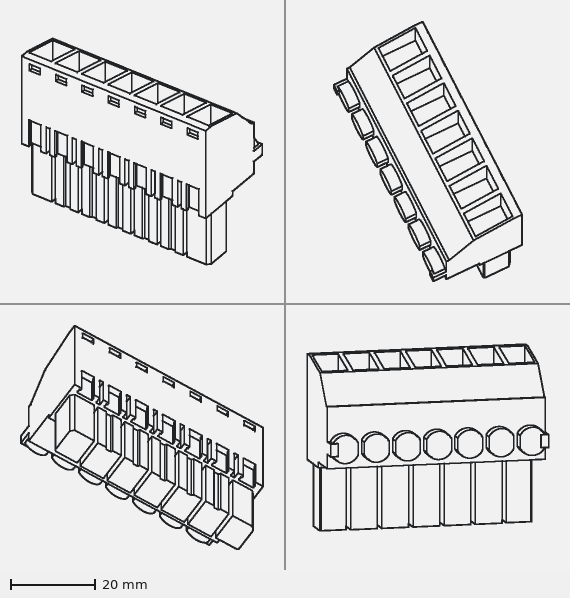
import cadquery as cq

POLES = 7
WIDTH = 53.35
PITCH = WIDTH / POLES
TOTAL_HEIGHT = 41.1
TOTAL_DEPTH = 23.6

BLOCK_HEIGHT = 25.6
BLOCK_DEPTH = 20.1
TOP_FLAT_DEPTH = 2.45
UPPER_SLOPE_BACK = 12.9
UPPER_SLOPE_DROP = 2.4
LOWER_SLOPE_BACK = 19.35
REAR_SHOULDER_DROP = 9.35
SKIRT_DEPTH = 11.3
SKIRT_HEIGHT = 1.35
LEG_LENGTH = TOTAL_HEIGHT - BLOCK_HEIGHT

POCKET_WIDTH = 6.35
POCKET_FRONT = 2.25
POCKET_BACK = 12.05
POCKET_DEPTH = 10.65

WINDOW_WIDTH = 3.1
WINDOW_HEIGHT = 1.9
WINDOW_DROP = 1.4
WINDOW_DEPTH = 1.0

RECESS_HEIGHT = 7.75
RECESS_DEPTH = 1.6
MOUTH_WIDTH = 3.5
LIP_THICKNESS = 0.7
UNDERCUT = 0.3

LEG_GAP = 1.05
LEG_FRONT = 2.4
LEG_BACK = 10.2
END_LEG_BACK = 9.85
END_LEG_INSET = 0.7
FRONT_CHAMFER = 0.85
REAR_CHAMFER = 0.3
GROOVE_WIDTH = 1.85
GROOVE_FLOOR_WIDTH = 1.25
GROOVE_DEPTH = 0.5

BUTTON_RADIUS = 3.4
BUTTON_WIDTH = 6.1
BUTTON_LENGTH = 2.9
BUTTON_DROP = 19.25
BUTTON_Z = TOTAL_HEIGHT - BUTTON_DROP
BUTTON_BACK = BLOCK_DEPTH + BUTTON_LENGTH
ARM_WIDTH = (PITCH - BUTTON_WIDTH) / 2
ARM_HEIGHT = 3.1
HOOK_WIDTH = 1.8

POLE_CENTRES = [(i - (POLES - 1) / 2) * PITCH for i in range(POLES)]
GAP_CENTRES = [x + PITCH / 2 for x in POLE_CENTRES[:-1]]


def box(centre_x, width, y_front, y_back, z_bottom, z_top):
    """Box centred on centre_x in X, between the given Y and Z limits."""
    size = (width, y_back - y_front, z_top - z_bottom)
    origin = (centre_x, y_front, z_bottom)
    return cq.Workplane("XY", origin=origin).box(*size, centered=(True, False, False))


def make_block():
    profile = [
        (0, LEG_LENGTH),
        (0, TOTAL_HEIGHT),
        (TOP_FLAT_DEPTH, TOTAL_HEIGHT),
        (UPPER_SLOPE_BACK, TOTAL_HEIGHT - UPPER_SLOPE_DROP),
        (LOWER_SLOPE_BACK, TOTAL_HEIGHT - REAR_SHOULDER_DROP),
        (BLOCK_DEPTH, TOTAL_HEIGHT - REAR_SHOULDER_DROP),
        (BLOCK_DEPTH, LEG_LENGTH + SKIRT_HEIGHT),
        (SKIRT_DEPTH, LEG_LENGTH + SKIRT_HEIGHT),
        (SKIRT_DEPTH, LEG_LENGTH),
    ]
    return cq.Workplane("YZ").polyline(profile).close().extrude(WIDTH / 2, both=True)


def make_pole_cuts(x):
    """Pocket, window and undercut recess of one pole."""
    pocket = box(x, POCKET_WIDTH, POCKET_FRONT, POCKET_BACK, TOTAL_HEIGHT - POCKET_DEPTH, TOTAL_HEIGHT)
    window_top = TOTAL_HEIGHT - WINDOW_DROP
    window = box(x, WINDOW_WIDTH, 0, WINDOW_DEPTH, window_top - WINDOW_HEIGHT, window_top)
    recess_top = LEG_LENGTH + RECESS_HEIGHT
    mouth = box(x, MOUTH_WIDTH, 0, LIP_THICKNESS, LEG_LENGTH, recess_top)
    cavity = box(x, MOUTH_WIDTH + 2 * UNDERCUT, LIP_THICKNESS, RECESS_DEPTH, LEG_LENGTH, recess_top)
    return [pocket, window, mouth, cavity]


def make_slot(x):
    """Narrow slot in the front wall, above the gap between two legs."""
    return box(x, LEG_GAP, 0, RECESS_DEPTH, LEG_LENGTH, LEG_LENGTH + RECESS_HEIGHT)


def make_inner_leg(x):
    """Leg with a tapered groove down its front face."""
    leg = box(x, PITCH - LEG_GAP, LEG_FRONT, LEG_BACK, 0, LEG_LENGTH)
    groove_outline = [
        (x - GROOVE_WIDTH / 2, LEG_FRONT),
        (x + GROOVE_WIDTH / 2, LEG_FRONT),
        (x + GROOVE_FLOOR_WIDTH / 2, LEG_FRONT + GROOVE_DEPTH),
        (x - GROOVE_FLOOR_WIDTH / 2, LEG_FRONT + GROOVE_DEPTH),
    ]
    groove = cq.Workplane("XY").polyline(groove_outline).close().extrude(LEG_LENGTH)
    return leg.cut(groove)


def make_end_leg(side):
    """End leg with chamfered outer corners; side is -1 at the -X end and +1 at the +X end."""
    inner_x = side * (WIDTH / 2 - PITCH + LEG_GAP / 2)
    outer_x = side * (WIDTH / 2 - END_LEG_INSET)
    outline = [
        (inner_x, LEG_FRONT),
        (outer_x - side * FRONT_CHAMFER, LEG_FRONT),
        (outer_x, LEG_FRONT + FRONT_CHAMFER),
        (outer_x, END_LEG_BACK - REAR_CHAMFER),
        (outer_x - side * REAR_CHAMFER, END_LEG_BACK),
        (inner_x, END_LEG_BACK),
    ]
    return cq.Workplane("XY").polyline(outline).close().extrude(LEG_LENGTH)


def make_arm(side):
    """Arm along the outer flat of an end button, with a hook over the button's end; side is -1 or +1."""
    z_bottom = BUTTON_Z - ARM_HEIGHT / 2
    z_top = BUTTON_Z + ARM_HEIGHT / 2
    stem = box(side * (WIDTH - ARM_WIDTH) / 2, ARM_WIDTH, BLOCK_DEPTH, TOTAL_DEPTH, z_bottom, z_top)
    hook = box(side * (WIDTH - HOOK_WIDTH) / 2, HOOK_WIDTH, BUTTON_BACK, TOTAL_DEPTH, z_bottom, z_top)
    return stem.union(hook)


def make_housing():
    housing = make_block()
    for x in POLE_CENTRES:
        for cut in make_pole_cuts(x):
            housing = housing.cut(cut)
    for x in GAP_CENTRES:
        housing = housing.cut(make_slot(x))
    for x in POLE_CENTRES[1:-1]:
        housing = housing.union(make_inner_leg(x))
    for side in (-1, 1):
        housing = housing.union(make_end_leg(side)).union(make_arm(side))
    return housing


def make_button(x):
    """Round button with two flat sides, standing on the rear wall."""
    disc = cq.Workplane("XZ", origin=(x, BUTTON_BACK, BUTTON_Z)).circle(BUTTON_RADIUS).extrude(BUTTON_LENGTH)
    z_bottom = BUTTON_Z - BUTTON_RADIUS
    z_top = BUTTON_Z + BUTTON_RADIUS
    return disc.intersect(box(x, BUTTON_WIDTH, BLOCK_DEPTH, BUTTON_BACK, z_bottom, z_top))


housing = make_housing()
buttons = [make_button(x) for x in POLE_CENTRES]

result = cq.Compound.makeCompound([housing.val(), *[button.val() for button in buttons]])